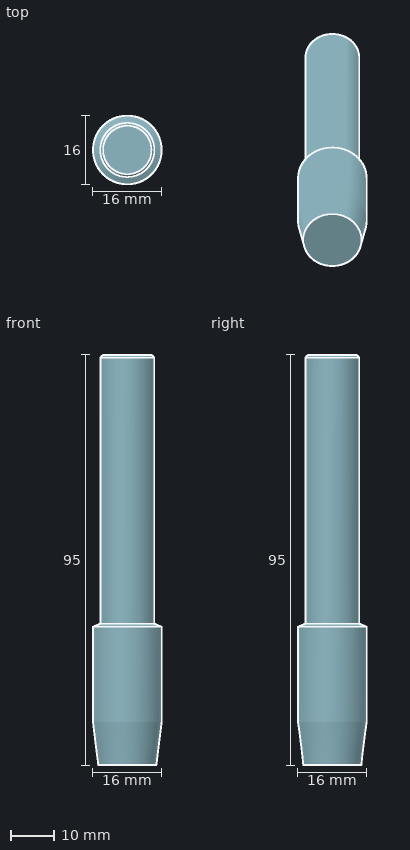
import cadquery as cq

total_height = 95.0

head_radius = 8.0
nose_end_radius = 6.7
nose_height = 10.0
barrel_top = 32.0
shoulder_height = 0.8

shank_radius = 6.3
shank_chamfer = 0.7

head_height = barrel_top + shoulder_height
shank_length = total_height - head_height


def make_head():
    """Revolve the half profile of the head about the Z axis."""
    return (
        cq.Workplane("XZ")
        .lineTo(nose_end_radius, 0)
        .lineTo(head_radius, nose_height)
        .lineTo(head_radius, barrel_top)
        .lineTo(shank_radius, head_height)
        .lineTo(0, head_height)
        .close()
        .revolve(360, (0, 0, 0), (0, 1, 0))
    )


def make_shank():
    """Rod with a chamfered top edge, resting on the flat top of the head."""
    return (
        cq.Workplane("XY")
        .workplane(offset=head_height)
        .circle(shank_radius)
        .extrude(shank_length)
        .faces(">Z")
        .chamfer(shank_chamfer)
    )


head = make_head()
shank = make_shank()

result = cq.Compound.makeCompound([head.val(), shank.val()])